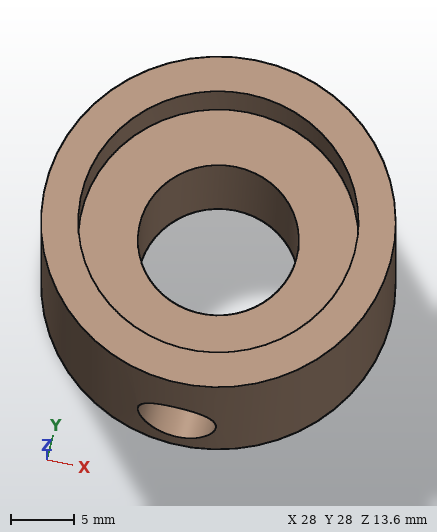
import cadquery as cq

outer_diameter = 27.95
height = 13.55

bore_diameter = 12.68
recess_diameter = 22.07
recess_depth = 4.0

side_hole_diameter = bore_diameter / 2
side_hole_height = 4.95

body = cq.Workplane("XY").circle(outer_diameter / 2).extrude(height)
bore = cq.Workplane("XY").circle(bore_diameter / 2).extrude(height)
recess = (
    cq.Workplane("XY", origin=(0, 0, height - recess_depth))
    .circle(recess_diameter / 2)
    .extrude(recess_depth)
)

side_hole = (
    cq.Workplane("XZ")
    .center(0, side_hole_height)
    .circle(side_hole_diameter / 2)
    .extrude(outer_diameter / 2)
)

result = body.cut(bore).cut(recess).cut(side_hole)